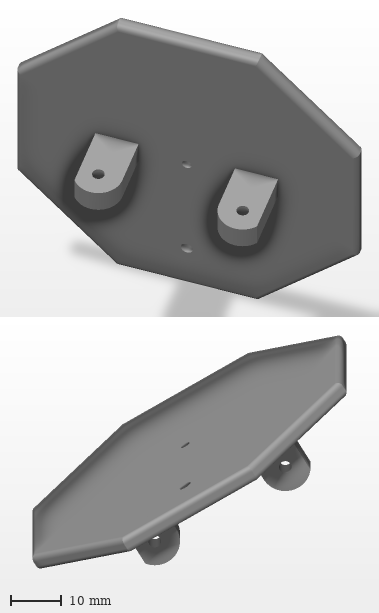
import cadquery as cq
import math

plate_width = 71.2
plate_thickness = 3.35
edge_radius = 1.15

center_hole_diameter = 2.0
lower_hole_diameter = 2.5
lower_hole_drop = 25.0

lug_length = 15.0
lug_height = 5.0
lug_tip_radius = 5.0
lug_outer_offset = 4.0
pin_x = 15.0
pin_hole_diameter = 2.5


def make_plate():
    corner_diameter = plate_width / math.cos(math.pi / 8)
    plate = (
        cq.Workplane("XZ")
        .polygon(8, corner_diameter)
        .extrude(-plate_thickness)
        .rotate((0, 0, 0), (0, 1, 0), 180 / 8)
    )
    return plate.faces("<Y or >Y").edges().fillet(edge_radius)


def plate_hole(diameter, z):
    return cq.Workplane("XZ").center(0, z).circle(diameter / 2).extrude(-plate_thickness)


def make_lug():
    """Right-hand lug: round tip about the pin axis, trimmed flat on the outer side."""
    pin_y = lug_tip_radius - lug_length
    inner_x = pin_x - lug_tip_radius
    outer_x = pin_x + lug_outer_offset
    arc_end_y = pin_y - math.sqrt(lug_tip_radius**2 - lug_outer_offset**2)
    profile = cq.Workplane("XY").workplane(offset=-lug_height / 2)
    lug = (
        profile.moveTo(inner_x, 0)
        .lineTo(inner_x, pin_y)
        .threePointArc((pin_x, -lug_length), (outer_x, arc_end_y))
        .lineTo(outer_x, 0)
        .close()
        .extrude(lug_height)
    )
    pin_hole = profile.center(pin_x, pin_y).circle(pin_hole_diameter / 2).extrude(lug_height)
    return lug.cut(pin_hole)


plate = make_plate()
plate = plate.cut(plate_hole(center_hole_diameter, 0))
plate = plate.cut(plate_hole(lower_hole_diameter, -lower_hole_drop))

right_lug = make_lug()
result = plate.union(right_lug).union(right_lug.mirror("YZ"))